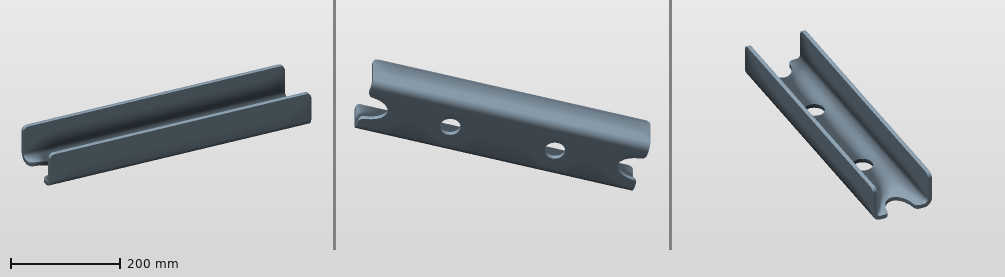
import cadquery as cq

length = 530.0
width = 120.5
height = 70.5
thickness = 8.0
bend_radius = 16.0
corner_radius = 10.0
hole_diameter = 38.0
hole_spacing = 200.0
notch_half_width = 27.0
notch_depth = 45.0
notch_lip_radius = 10.0

inner_width = width - 2 * thickness
inner_bend_radius = bend_radius - thickness


def rounded_bar(bar_width, bottom, radius):
    """Full-length bar from bottom to the flange tops, with rounded lower edges."""
    bar_height = height - bottom
    return (
        cq.Workplane("XY", origin=(0, 0, bottom))
        .box(bar_width, length, bar_height, centered=(True, True, False))
        .edges("|Y and <Z")
        .fillet(radius)
    )


def end_notches():
    """Half-elliptical cutters centred on both ends of the web."""
    return (
        cq.Workplane("XY")
        .pushPoints([(0, -length / 2), (0, length / 2)])
        .ellipse(notch_depth, notch_half_width, rotation_angle=90)
        .extrude(thickness)
    )


def web_holes():
    """Two round through holes on the centre line of the web."""
    return (
        cq.Workplane("XY")
        .pushPoints([(0, -hole_spacing / 2), (0, hole_spacing / 2)])
        .circle(hole_diameter / 2)
        .extrude(thickness)
    )


channel = rounded_bar(width, 0, bend_radius).cut(
    rounded_bar(inner_width, thickness, inner_bend_radius)
)

for flange_end in ("<Y", ">Y"):
    channel = channel.faces(flange_end).edges("|X and >Z").fillet(corner_radius)

channel = channel.cut(end_notches())
lip_reach = notch_half_width + notch_lip_radius / 2
for end_y in (-length / 2, length / 2):
    lip_edges = cq.selectors.BoxSelector(
        (-lip_reach, end_y - notch_lip_radius, 0),
        (lip_reach, end_y + notch_lip_radius, thickness),
    )
    channel = channel.edges(lip_edges).fillet(notch_lip_radius)

result = channel.cut(web_holes())